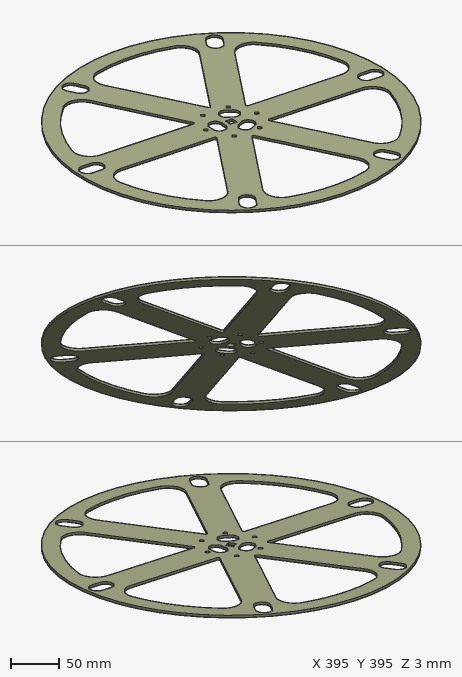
import cadquery as cq
import math

outer_radius = 197.5
thickness = 3.0
rim_width = 19.8
window_radius = outer_radius - rim_width

spoke_count = 6
spoke_width = 36.7
spoke_pitch = 360.0 / spoke_count
hub_corner_radius = 2.0
rim_corner_radius = 19.8

rim_slot_length = 29.2
rim_slot_width = 18.0
rim_slot_distance = 178.0

hub_slot_count = 3
hub_slot_length = 23.0
hub_slot_width = 15.8
hub_slot_distance = 17.8
bolt_hole_diameter = 4.7
bolt_circle_radius = 32.5
shaft_square = 8.3

first_spoke_angle = 90.0


def on_circle(radius, angle):
    """Point at a radius and an angle in degrees."""
    turn = math.radians(angle)
    return (radius * math.cos(turn), radius * math.sin(turn))


def spoke_window():
    """Cutter for the rounded sector between two spokes, centred on +X."""
    half_pitch = spoke_pitch / 2
    half_spoke = spoke_width / 2
    apex_distance = half_spoke / math.sin(math.radians(half_pitch))
    corner_angle = half_pitch - math.degrees(math.asin(half_spoke / window_radius))
    window = (
        cq.Workplane("XY")
        .moveTo(apex_distance, 0)
        .lineTo(*on_circle(window_radius, -corner_angle))
        .threePointArc((window_radius, 0), on_circle(window_radius, corner_angle))
        .close()
        .extrude(thickness)
    )
    window = window.edges("|Z and <X").fillet(hub_corner_radius)
    rim_corners = window.edges("|Z").edges(">Y or <Y")
    return rim_corners.fillet(rim_corner_radius)


def slot(length, width, distance, long_axis_angle):
    """Cutter for a round-ended slot placed at a distance along +X."""
    return (
        cq.Workplane("XY")
        .center(distance, 0)
        .slot2D(length, width, long_axis_angle)
        .extrude(thickness)
    )


def cut_ring(body, cutter, count, first_angle):
    """Cut equally spaced copies of a cutter around the disc axis."""
    for index in range(count):
        angle = first_angle + index * 360.0 / count
        body = body.cut(cutter.rotate((0, 0, 0), (0, 0, 1), angle))
    return body


disc = cq.Workplane("XY").circle(outer_radius).extrude(thickness)

disc = cut_ring(disc, spoke_window(), spoke_count, first_spoke_angle + spoke_pitch / 2)

rim_slot = slot(rim_slot_length, rim_slot_width, rim_slot_distance, 0)
disc = cut_ring(disc, rim_slot, spoke_count, first_spoke_angle)

hub_slot = slot(hub_slot_length, hub_slot_width, hub_slot_distance, 90)
disc = cut_ring(disc, hub_slot, hub_slot_count, first_spoke_angle + 180)

bolt_hole = cq.Workplane("XY").center(bolt_circle_radius, 0).circle(bolt_hole_diameter / 2).extrude(thickness)
disc = cut_ring(disc, bolt_hole, spoke_count, first_spoke_angle)

result = disc.cut(cq.Workplane("XY").rect(shaft_square, shaft_square).extrude(thickness))